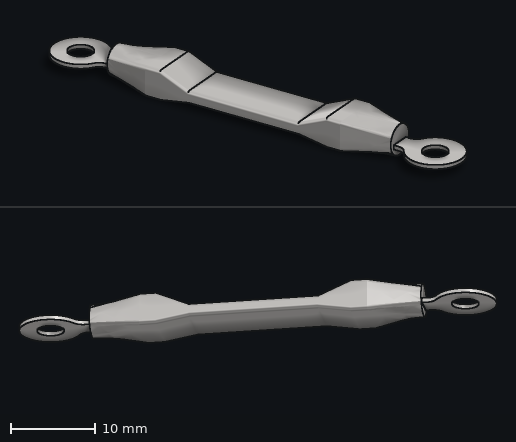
import cadquery as cq
import math

length = 57.45

ring_diameter = 7.45
hole_diameter = 3.2
tab_thickness = 0.6
neck_width = 2.65
neck_fillet = 1.5
tab_embed = 0.6

body_width = 6.8
body_height = 4.0
body_bottom = -1.5
strip_height = 1.65
corner_radius = 0.5

strip_end = 7.75
block_start = 11.7
block_end = 13.75
cone_end = 20.0

body_center_z = body_bottom + body_height / 2
ring_radius = ring_diameter / 2
ring_center_x = length / 2 - ring_radius


def rounded_section(x, height, center_z):
    """Rounded rectangle in the YZ plane at the given X."""
    outline = cq.Sketch().rect(body_width, height).vertices().fillet(corner_radius)
    return cq.Workplane("YZ", origin=(x, 0, center_z)).placeSketch(outline)


def loft_between(start, end):
    """Straight-sided loft between two closed wires."""
    return cq.Workplane(obj=cq.Solid.makeLoft([start, end], True))


def section_wire(x, height, center_z):
    """Outer wire of a rounded section."""
    return rounded_section(x, height, center_z).extrude(0.6).faces("<X").wires().val()


def make_strip():
    """Flat strip spanning the middle of the part."""
    return rounded_section(-strip_end, strip_height, 0).extrude(2 * strip_end)


def make_body():
    """Right-hand body: flare from the strip, block, and taper to a round end."""
    strip_wire = section_wire(strip_end, strip_height, 0)
    flare_wire = section_wire(block_start, body_height, body_center_z)
    block_wire = section_wire(block_end, body_height, body_center_z)
    round_wire = cq.Wire.makeCircle(
        body_height / 2, cq.Vector(cone_end, 0, body_center_z), cq.Vector(1, 0, 0)
    )
    block = rounded_section(block_start, body_height, body_center_z).extrude(block_end - block_start)
    flare = loft_between(strip_wire, flare_wire)
    taper = loft_between(block_wire, round_wire)
    return flare.union(block).union(taper)


def make_terminal():
    """Right-hand ring with a neck blended into it by tangent arcs."""
    half_neck = neck_width / 2
    blend_y = half_neck + neck_fillet
    center_distance = ring_radius + neck_fillet
    blend_dx = math.sqrt(center_distance**2 - blend_y**2)
    blend_x = ring_center_x - blend_dx

    touch_x = ring_center_x - blend_dx * ring_radius / center_distance
    touch_y = blend_y * ring_radius / center_distance
    middle_angle = (math.atan2(touch_y - blend_y, touch_x - blend_x) - math.pi / 2) / 2
    middle_x = blend_x + neck_fillet * math.cos(middle_angle)
    middle_y = blend_y + neck_fillet * math.sin(middle_angle)

    return (
        cq.Workplane("XY", origin=(0, 0, -tab_thickness / 2))
        .moveTo(cone_end - tab_embed, -half_neck)
        .lineTo(blend_x, -half_neck)
        .threePointArc((middle_x, -middle_y), (touch_x, -touch_y))
        .threePointArc((length / 2, 0), (touch_x, touch_y))
        .threePointArc((middle_x, middle_y), (blend_x, half_neck))
        .lineTo(cone_end - tab_embed, half_neck)
        .close()
        .extrude(tab_thickness)
        .cut(
            cq.Workplane("XY", origin=(ring_center_x, 0, 0))
            .circle(hole_diameter / 2)
            .extrude(tab_thickness, both=True)
        )
    )


right_end = make_body().union(make_terminal())
left_end = right_end.mirror("YZ")
result = make_strip().union(right_end).union(left_end)